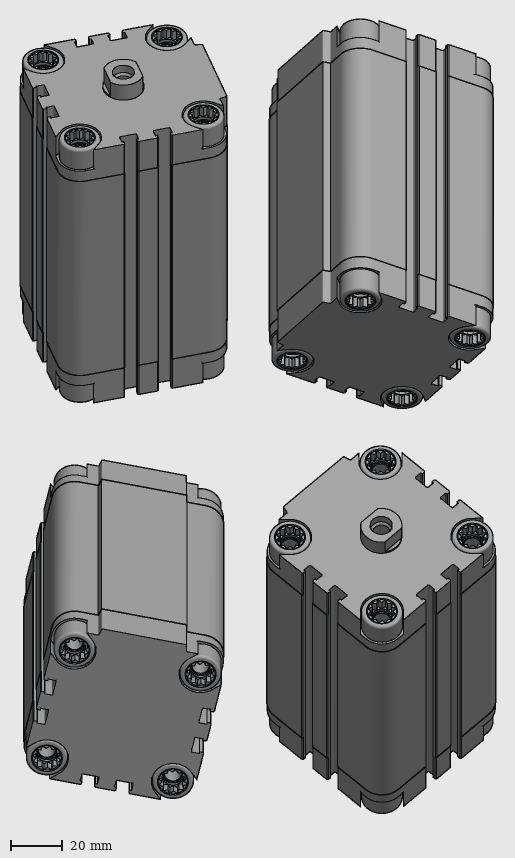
import cadquery as cq
import math

total_height = 133
rod_protrusion = 7.5
housing_height = total_height - rod_protrusion
cap_height = 14.6

barrel_width = 68.0
barrel_half = barrel_width / 2
corner_radius = 9.0
cap_inset = 0.2

pad_rise = 3.0
pad_top_half_width = 16.9
pad_flank_run = 0.7
cap_pad_rounding = 0.4

slot_offset = 6.8
slot_depth = 5.0
slot_lip = 1.9
slot_mouth_width = 5.2
slot_wide_width = 6.8
lip_chamfer = 0.4
slot_rounding = 0.4

bolt_offset = barrel_half - corner_radius
pocket_diameter = 16.6
pocket_radius = pocket_diameter / 2
pocket_depth = 9.6
head_diameter = 16
head_fillet = 1.0
bolt_bore_diameter = 6.6

socket_point_count = 12
socket_tip_diameter = 11.2
socket_root_diameter = 8.5
socket_depth = 4.5
socket_mouth_diameter = 12
socket_mouth_depth = 0.3
relief_diameter = 8.4
relief_depth = 1.3
bore_mouth_diameter = 7.3

rod_diameter = 16
rod_flats = 13.0
flats_height = 6.6
rod_mouth_diameter = 8.5
rod_mouth_depth = 3.6
rod_mouth_taper = 0.9
rod_bore_diameter = 6.6
rod_bore_depth = 16
drill_tip_angle = 118


def outline_block(inset, pad_rounding, height):
    """Square block with rounded corners and the tapered pad on its +Y side."""
    half = barrel_half - inset
    pad_top = half + pad_rise
    top_half_width = pad_top_half_width - inset
    root_half_width = top_half_width + pad_flank_run
    block = (
        cq.Workplane("XY")
        .rect(2 * half, 2 * half)
        .extrude(height)
        .edges("|Z")
        .fillet(corner_radius - inset)
    )
    pad = (
        cq.Workplane("XY")
        .polyline([
            (-root_half_width, 0),
            (-root_half_width, half),
            (-top_half_width, pad_top),
            (top_half_width, pad_top),
            (root_half_width, half),
            (root_half_width, 0),
        ])
        .close()
        .extrude(height)
    )
    block = block.union(pad)
    if pad_rounding:
        pad_corners = cq.selectors.BoxSelector(
            (-root_half_width - pad_rounding, half - pad_rounding, 0),
            (root_half_width + pad_rounding, pad_top + pad_rounding, height),
        )
        block = block.edges("|Z").edges(pad_corners).fillet(pad_rounding)
    return block


def t_slot(inset, height):
    """Cutter for one T-slot in the -Y side, whose face is set back by the inset."""
    face_y = inset - barrel_half
    lip_y = slot_lip - barrel_half
    floor_y = slot_depth - barrel_half
    mouth_half = slot_mouth_width / 2
    wide_half = slot_wide_width / 2
    flare_half = mouth_half + lip_chamfer
    flare_y = face_y + lip_chamfer
    cutter = (
        cq.Workplane("XY")
        .moveTo(-flare_half, face_y - lip_chamfer)
        .lineTo(-flare_half, face_y)
        .lineTo(-mouth_half, flare_y)
        .lineTo(-mouth_half, lip_y)
        .lineTo(-wide_half, lip_y)
        .lineTo(-wide_half, floor_y)
        .lineTo(wide_half, floor_y)
        .lineTo(wide_half, lip_y)
        .lineTo(mouth_half, lip_y)
        .lineTo(mouth_half, flare_y)
        .lineTo(flare_half, face_y)
        .lineTo(flare_half, face_y - lip_chamfer)
        .close()
        .extrude(height)
    )
    floor_corners = cq.selectors.BoxSelector(
        (-barrel_half, floor_y - slot_rounding, 0), (barrel_half, floor_y + slot_rounding, height)
    )
    return cutter.edges("|Z").edges(floor_corners).fillet(slot_rounding)


def profile_section(inset, pad_rounding, bottom, height):
    """One length of the housing with a pair of T-slots in the -X, -Y and +X sides."""
    section = outline_block(inset, pad_rounding, height)
    for side_angle in (-90, 0, 90):
        for x in (-slot_offset, slot_offset):
            slot = t_slot(inset, height).translate((x, 0, 0))
            section = section.cut(slot.rotate((0, 0, 0), (0, 0, 1), side_angle))
    return section.translate((0, 0, bottom))


def corner_pocket():
    """Cutter for a round-ended pocket on the Z axis, open towards +X."""
    round_end = cq.Workplane("XY").circle(pocket_radius).extrude(pocket_depth)
    opening = (
        cq.Workplane("XY")
        .rect(2 * pocket_radius, 2 * pocket_radius)
        .extrude(pocket_depth)
        .translate((pocket_radius, 0, 0))
    )
    return round_end.union(opening)


def cone(bottom_diameter, top_diameter, height, bottom):
    """Cone frustum on the Z axis."""
    solid = cq.Solid.makeCone(bottom_diameter / 2, top_diameter / 2, height)
    return cq.Workplane(solid).translate((0, 0, bottom))


def star_points(tip_radius, root_radius, count):
    """Corners of a star, alternating between tips and roots, with the first tip on +X."""
    corners = []
    for index in range(2 * count):
        angle = index * math.pi / count
        radius = root_radius if index % 2 else tip_radius
        corners.append((radius * math.cos(angle), radius * math.sin(angle)))
    return corners


def bolt_head():
    """Round head with its base at Z = 0, a twelve-point socket and a start of the bore."""
    head = cq.Workplane("XY").circle(head_diameter / 2).extrude(pocket_depth)
    head = head.faces(">Z").edges().fillet(head_fillet)

    floor = pocket_depth - socket_depth
    socket = (
        cq.Workplane("XY")
        .polyline(star_points(socket_tip_diameter / 2, socket_root_diameter / 2, socket_point_count))
        .close()
        .extrude(socket_depth)
        .translate((0, 0, floor))
    )

    mouth_bottom = pocket_depth - socket_mouth_depth
    mouth = cone(socket_tip_diameter, socket_mouth_diameter, socket_mouth_depth, mouth_bottom)

    relief_floor = floor - relief_depth
    relief = (
        cq.Workplane("XY")
        .circle(relief_diameter / 2)
        .extrude(relief_depth)
        .translate((0, 0, relief_floor))
    )
    bore_mouth_depth = (bore_mouth_diameter - bolt_bore_diameter) / 2
    bore_mouth_bottom = relief_floor - bore_mouth_depth
    bore_mouth = cone(bolt_bore_diameter, bore_mouth_diameter, bore_mouth_depth, bore_mouth_bottom)
    return head.cut(socket).cut(mouth).cut(relief).cut(bore_mouth)


def make_housing():
    barrel = profile_section(0, 0, cap_height, housing_height - 2 * cap_height)
    lower_cap = profile_section(cap_inset, cap_pad_rounding, 0, cap_height)
    upper_cap = profile_section(cap_inset, cap_pad_rounding, housing_height - cap_height, cap_height)
    housing = barrel.union(lower_cap).union(upper_cap)

    mid_height = housing_height / 2
    pocket = corner_pocket().translate((0, 0, housing_height - pocket_depth))
    head = bolt_head().translate((0, 0, housing_height - pocket_depth))
    bore = cq.Workplane("XY").circle(bolt_bore_diameter / 2).extrude(housing_height)
    for x_side, y_side in ((1, 1), (-1, 1), (-1, -1), (1, -1)):
        place = (x_side * bolt_offset, y_side * bolt_offset, 0)
        angle = math.degrees(math.atan2(y_side, x_side))
        top_pocket = pocket.rotate((0, 0, 0), (0, 0, 1), angle).translate(place)
        top_head = head.translate(place)
        housing = housing.cut(top_pocket).cut(top_pocket.mirror("XY", (0, 0, mid_height)))
        housing = housing.union(top_head).union(top_head.mirror("XY", (0, 0, mid_height)))
        housing = housing.cut(bore.translate(place))

    rod_hole = cq.Workplane("XY").circle(rod_diameter / 2).extrude(cap_height)
    return housing.cut(rod_hole.translate((0, 0, housing_height - cap_height)))


def make_rod():
    rod_length = rod_protrusion + cap_height
    rod = cq.Workplane("XY").circle(rod_diameter / 2).extrude(rod_length)
    flats = (
        cq.Workplane("XY")
        .rect(rod_diameter, rod_flats)
        .extrude(flats_height)
        .translate((0, 0, rod_length - flats_height))
    )
    plain = cq.Workplane("XY").circle(rod_diameter / 2).extrude(rod_length - flats_height)
    rod = rod.intersect(flats.union(plain))

    mouth = cq.Workplane("XY").circle(rod_mouth_diameter / 2).extrude(rod_mouth_depth)
    bore = cq.Workplane("XY").circle(rod_bore_diameter / 2).extrude(rod_bore_depth)
    tip_height = rod_bore_diameter / 2 / math.tan(math.radians(drill_tip_angle / 2))
    bore_bottom = rod_length - rod_bore_depth
    mouth_floor = rod_length - rod_mouth_depth
    rod = rod.cut(mouth.translate((0, 0, mouth_floor)))
    rod = rod.cut(cone(rod_bore_diameter, rod_mouth_diameter, rod_mouth_taper, mouth_floor - rod_mouth_taper))
    rod = rod.cut(bore.translate((0, 0, bore_bottom)))
    rod = rod.cut(cone(0, rod_bore_diameter, tip_height, bore_bottom - tip_height))
    return rod.translate((0, 0, housing_height - cap_height))


housing = make_housing()
rod = make_rod()
result = cq.Compound.makeCompound([housing.solids().val(), rod.solids().val()])